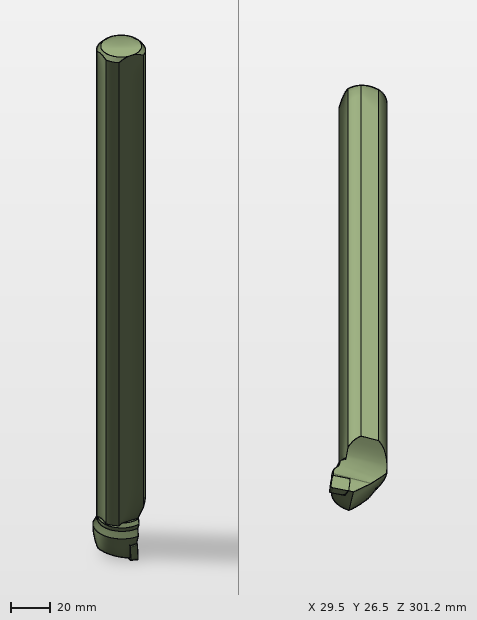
import cadquery as cq
import math

LENGTH = 301.2
OVERALL_WIDTH = 29.5
RAKE_Y = 0.3

SHANK_RADIUS = 25.0 / 2
SIDE_FLAT_Y = 23.2 / 2
TIP_FLAT_X = 10.2
TIP_X = OVERALL_WIDTH - SHANK_RADIUS
END_CHAMFER = 2.0

HEAD_AXIS_X = 1.0
HEAD_RADIUS = 29.8 / 2
COLLAR_RADIUS = SHANK_RADIUS
COLLAR_CHAMFER = 1.8
COLLAR_TOP_Z = 20.5
COLLAR_BOTTOM_Z = 16.5
FLARE_BOTTOM_Z = 13.5

BACK_TOP_Z = 19.0
BACK_ANGLE = 46.0

END_FACE_Z = 1.0
END_CLEARANCE_ANGLE = 11.0

GULLET_TOP_Z = 31.5
GULLET_MIDDLE = (4.0, 20.2)
GULLET_BOTTOM_Z = 10.8

INSERT_SIDE = 9.5
INSERT_ANGLE = 80.0
INSERT_THICKNESS = 4.0
INSERT_CLEARANCE = 7.0
CORNER_RADIUS = 0.8
LEAD_ANGLE = 95.0

CUT_SPAN = 60.2


def make_shank():
    shank = cq.Workplane("XY").workplane(offset=COLLAR_BOTTOM_Z)
    shank = shank.circle(SHANK_RADIUS).extrude(LENGTH - COLLAR_BOTTOM_Z)
    shank = shank.faces(">Z").chamfer(END_CHAMFER)
    flats_width = SHANK_RADIUS + TIP_FLAT_X
    flats = cq.Workplane("XY").box(
        flats_width, 2 * SIDE_FLAT_Y, LENGTH, centered=(False, True, False)
    )
    return shank.intersect(flats.translate((-SHANK_RADIUS, 0, 0)))


def make_head():
    profile = [
        (0, 0),
        (HEAD_RADIUS, 0),
        (HEAD_RADIUS, FLARE_BOTTOM_Z),
        (COLLAR_RADIUS, COLLAR_BOTTOM_Z),
        (COLLAR_RADIUS, COLLAR_TOP_Z - COLLAR_CHAMFER),
        (COLLAR_RADIUS - COLLAR_CHAMFER, COLLAR_TOP_Z),
        (0, COLLAR_TOP_Z),
    ]
    head = cq.Workplane("XZ").polyline(profile).close().revolve(360, (0, 0), (0, 1))
    return head.translate((HEAD_AXIS_X, 0, 0))


def make_back_cut():
    """Everything below the plane that slopes down toward the tip."""
    block = cq.Workplane("XY").box(2 * CUT_SPAN, CUT_SPAN, CUT_SPAN)
    block = block.translate((0, 0, -CUT_SPAN / 2))
    block = block.rotate((0, 0, 0), (0, 1, 0), BACK_ANGLE)
    return block.translate((-SHANK_RADIUS, 0, BACK_TOP_Z))


def make_end_cut():
    """Everything below the end clearance face."""
    block = cq.Workplane("XY").box(CUT_SPAN, CUT_SPAN, CUT_SPAN)
    block = block.translate((0, 0, -CUT_SPAN / 2))
    block = block.rotate((0, 0, 0), (1, 0, 0), -END_CLEARANCE_ANGLE)
    return block.translate((0, RAKE_Y, END_FACE_Z))


def make_gullet_cut():
    return (
        cq.Workplane("YZ")
        .moveTo(RAKE_Y, 0)
        .lineTo(RAKE_Y, GULLET_BOTTOM_Z)
        .threePointArc(GULLET_MIDDLE, (SIDE_FLAT_Y, GULLET_TOP_Z))
        .lineTo(CUT_SPAN, GULLET_TOP_Z)
        .lineTo(CUT_SPAN, 0)
        .close()
        .extrude(CUT_SPAN / 2, both=True)
    )


def make_insert():
    """Rhombic plate whose flanks taper inward below the rake face."""
    upright = math.radians(LEAD_ANGLE)
    level = math.radians(LEAD_ANGLE + INSERT_ANGLE)
    up = cq.Vector(math.cos(upright), math.sin(upright)) * INSERT_SIDE
    back = cq.Vector(math.cos(level), math.sin(level)) * INSERT_SIDE
    sharp_reach = CORNER_RADIUS / math.sin(math.radians(INSERT_ANGLE / 2))
    overshoot = sharp_reach * math.sqrt(0.5) - CORNER_RADIUS
    nose = cq.Vector(TIP_X + overshoot, -overshoot)
    corners = [nose, nose + up, nose + up + back, nose + back]
    plate = (
        cq.Workplane("XZ", origin=(0, RAKE_Y, 0))
        .polyline([(corner.x, corner.y) for corner in corners])
        .close()
        .extrude(INSERT_THICKNESS, taper=INSERT_CLEARANCE)
    )
    return plate.edges("not(#Y or >Y or <Y)").fillet(CORNER_RADIUS)


def make_bar(insert):
    bar = make_shank().union(make_head())
    bar = bar.cut(make_back_cut()).cut(make_end_cut()).cut(make_gullet_cut())
    return bar.cut(insert).solids()


insert = make_insert()
bar = make_bar(insert)

result = cq.Compound.makeCompound([bar.val(), insert.val()])